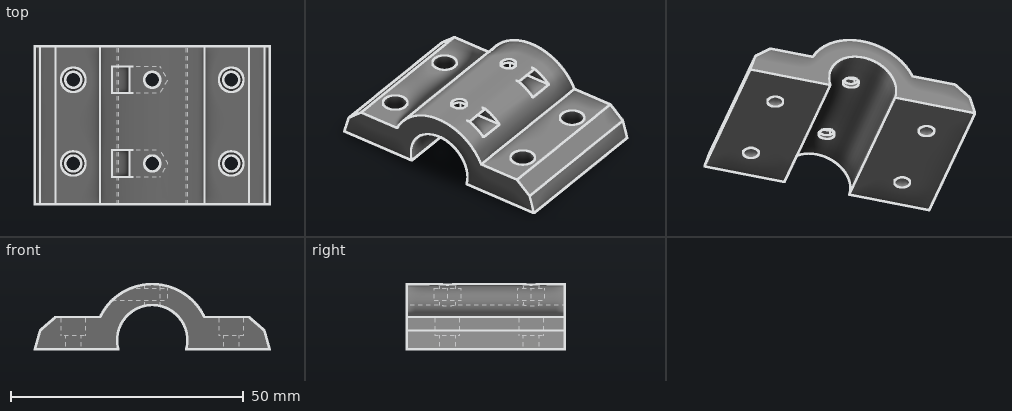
import cadquery as cq
import math

width = 50.5
length = 34.0
height = 14.05

flange_top = 6.95
knee_height = 4.1
knee_inset = 1.15
flange_top_inset = 4.5

saddle_half_width = 11.2
bore_radius = 7.55
bore_center_z = 1.95

screw_diameter = 3.4
counterbore_diameter = 5.25
counterbore_floor = 3.0
flange_hole_x = 16.95
hole_spacing_y = 18.0
hole_offset_y = 0.75
hole_rows = [hole_offset_y - hole_spacing_y / 2, hole_offset_y + hole_spacing_y / 2]

nut_across_flats = 5.75
nut_across_corners = nut_across_flats / math.cos(math.pi / 6)
nut_floor = 10.5
nut_thickness = 2.55


def make_body():
    """Extrude the flanged arch and cut the bore along Y."""
    half_width = width / 2
    knee_x = half_width - knee_inset
    flange_edge_x = half_width - flange_top_inset
    arch = (
        cq.Workplane("XZ")
        .moveTo(-half_width, 0)
        .lineTo(-knee_x, knee_height)
        .lineTo(-flange_edge_x, flange_top)
        .lineTo(-saddle_half_width, flange_top)
        .threePointArc((0, height), (saddle_half_width, flange_top))
        .lineTo(flange_edge_x, flange_top)
        .lineTo(knee_x, knee_height)
        .lineTo(half_width, 0)
        .close()
        .extrude(length / 2, both=True)
    )
    bore = (
        cq.Workplane("XZ")
        .center(0, bore_center_z)
        .circle(bore_radius)
        .extrude(length / 2, both=True)
    )
    return arch.cut(bore)


def vertical_cylinder(x, y, bottom, diameter):
    """Cutter from the given level up to the top of the part."""
    return (
        cq.Workplane("XY", origin=(x, y, bottom))
        .circle(diameter / 2)
        .extrude(height - bottom)
    )


def nut_trap(y):
    """Hexagonal seat around the saddle hole with a slot out to -X."""
    floor = cq.Workplane("XY", origin=(0, y, nut_floor))
    seat = floor.polygon(6, nut_across_corners).extrude(nut_thickness)
    slot = floor.box(
        width / 2, nut_across_flats, nut_thickness, centered=(False, True, False)
    ).translate((-width / 2, 0, 0))
    return seat.union(slot)


result = make_body()
for row_y in hole_rows:
    for hole_x in (-flange_hole_x, 0, flange_hole_x):
        result = result.cut(vertical_cylinder(hole_x, row_y, 0, screw_diameter))
    for hole_x in (-flange_hole_x, flange_hole_x):
        result = result.cut(
            vertical_cylinder(hole_x, row_y, counterbore_floor, counterbore_diameter)
        )
    result = result.cut(nut_trap(row_y))